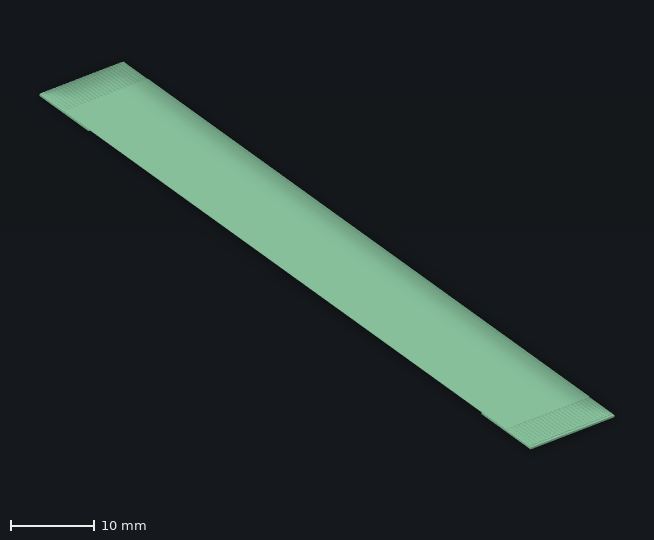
import cadquery as cq

LENGTH = 100.0
WIDTH = 12.5
HEIGHT = 0.36

STIFFENER_LENGTH = 10.0
STIFFENER_THICKNESS = 0.26
STIFFENER_OVERHANG = 0.35

BOTTOM_FILM_THICKNESS = 0.03
CONDUCTOR_THICKNESS = 0.04
CONDUCTOR_WIDTH = 0.3
CONDUCTOR_PITCH = 0.5
CONDUCTOR_COUNT = round(WIDTH / CONDUCTOR_PITCH) - 1
BARE_LENGTH = 5.0

LEFT_END = -LENGTH / 2
RIGHT_END = LENGTH / 2
CABLE_RIGHT_END = RIGHT_END - STIFFENER_OVERHANG

BOTTOM = -HEIGHT / 2
STIFFENER_TOP = BOTTOM + STIFFENER_THICKNESS
CONDUCTOR_BOTTOM = STIFFENER_TOP + BOTTOM_FILM_THICKNESS
CONDUCTOR_TOP = CONDUCTOR_BOTTOM + CONDUCTOR_THICKNESS
TOP = HEIGHT / 2


def strip(x_start, x_end, z_start, z_end, width=WIDTH, y_middle=0.0):
    """Flat box between two X and two Z positions, centred on y_middle."""
    return (
        cq.Workplane("XY")
        .box(x_end - x_start, width, z_end - z_start, centered=(False, True, False))
        .translate((x_start, y_middle, z_start))
    )


def make_conductors():
    """Evenly spaced conductors running the whole length of the cable."""
    first_y = -(CONDUCTOR_COUNT - 1) / 2 * CONDUCTOR_PITCH
    conductors = []
    for index in range(CONDUCTOR_COUNT):
        conductor = strip(
            LEFT_END,
            CABLE_RIGHT_END,
            CONDUCTOR_BOTTOM,
            CONDUCTOR_TOP,
            CONDUCTOR_WIDTH,
            first_y + index * CONDUCTOR_PITCH,
        )
        conductors.append(conductor.val())
    return conductors


left_stiffener = strip(LEFT_END, LEFT_END + STIFFENER_LENGTH, BOTTOM, STIFFENER_TOP)
right_stiffener = strip(RIGHT_END - STIFFENER_LENGTH, RIGHT_END, BOTTOM, STIFFENER_TOP)
bottom_film = strip(LEFT_END, CABLE_RIGHT_END, STIFFENER_TOP, CONDUCTOR_BOTTOM)
top_film = strip(LEFT_END + BARE_LENGTH, RIGHT_END - BARE_LENGTH, CONDUCTOR_TOP, TOP)

base = bottom_film.union(left_stiffener).union(right_stiffener)
joined = base.val().fuse(top_film.val(), *make_conductors())
result = cq.Workplane(joined.Solids()[0])